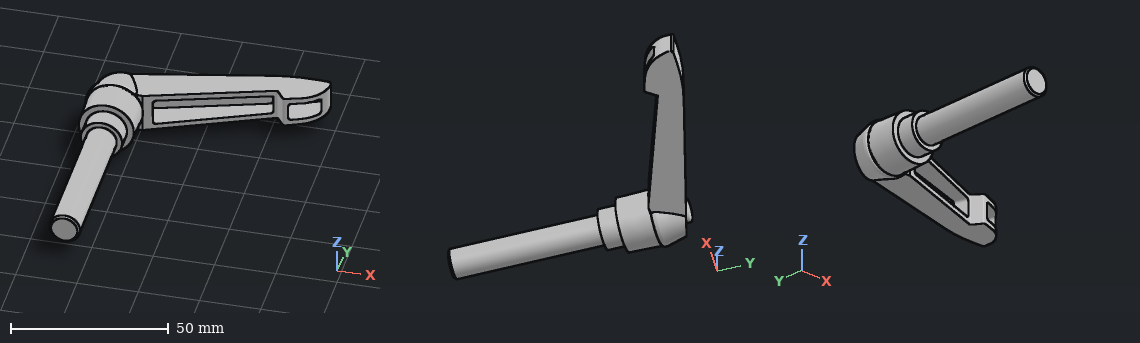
import cadquery as cq
import math


stud_diameter = 10.0
stud_length = 50.0
stud_chamfer = 0.7
bush_diameter = 13.5
bush_length = 6.5

skirt_bottom_radius = 9.0
skirt_top_radius = 9.3
skirt_height = 11.0
rim_radius = 9.745
rim_fillet = 0.85
rim_band = 0.85
cone_angle = 15.0

screw_radius = 4.0
screw_top_y = 28.55
screw_fillet = 0.85

top_slope = 15.0
slope_start_y = 27.35
arm_top_y = 41.55
arm_end_x = 65.0
crown_radius = 55.0
tip_top_chamfer = 0.65
belly_slope = 20.0
belly_start_x = 9.2
notch_x = 49.6
nose_x = 52.4
nose_y = 28.4
nose_fillet = 0.9
notch_fillet = 0.5
tip_arc_radius = 11.0

half_width_at_axis = 7.0
half_width_at_end = 4.8
end_corner_fillet = 0.6

pocket_wall = 2.05
pocket_corner_radius = 1.0
roof_thickness = 3.0
pocket_cut_height = 15.0
long_pocket_start_x = 12.3
long_pocket_end_x = 48.4
tip_pocket_start_x = 53.9
tip_pocket_end_x = 63.3

skirt_bottom_y = bush_length
skirt_top_y = skirt_bottom_y + skirt_height
top_tan = math.tan(math.radians(top_slope))
top_sin = math.sin(math.radians(top_slope))
top_cos = math.cos(math.radians(top_slope))
belly_tan = math.tan(math.radians(belly_slope))
belly_sin = math.sin(math.radians(belly_slope))
belly_cos = math.cos(math.radians(belly_slope))
notch_y = skirt_top_y + (notch_x - belly_start_x) * belly_tan
tip_arc_center_x = arm_end_x - tip_arc_radius
tip_arc_start_x = tip_arc_center_x + tip_arc_radius * belly_sin
tip_arc_start_y = nose_y + (tip_arc_start_x - nose_x) * belly_tan
tip_arc_end_y = tip_arc_start_y + tip_arc_radius * belly_cos
width_slope = (half_width_at_axis - half_width_at_end) / arm_end_x


def half_width(x):
    """Half of the arm width, which tapers evenly towards the tip."""
    return half_width_at_axis - width_slope * x


def cylinder_on_axis(radius, start_y, end_y):
    """Cylinder around the stud axis between two heights."""
    base = cq.Workplane("XZ", origin=(0, start_y, 0))
    return base.circle(radius).extrude(start_y - end_y)


def make_stud():
    stud = cylinder_on_axis(stud_diameter / 2, -stud_length, skirt_bottom_y)
    stud = stud.faces("<Y").chamfer(stud_chamfer)
    bush = cylinder_on_axis(bush_diameter / 2, 0, skirt_top_y)
    return stud.union(bush)


def make_hub():
    """Tapered skirt, rounded rim and cone, with the cone cut off by the sloped top."""
    cone_start_y = skirt_top_y + rim_fillet + rim_band
    cone_top_radius = rim_radius - (arm_top_y - cone_start_y) * math.tan(math.radians(cone_angle))
    fillet_mid = rim_fillet * (1 - math.sqrt(0.5))
    hub = (
        cq.Workplane("XY")
        .moveTo(0, skirt_bottom_y)
        .lineTo(skirt_bottom_radius, skirt_bottom_y)
        .lineTo(skirt_top_radius, skirt_top_y)
        .lineTo(rim_radius - rim_fillet, skirt_top_y)
        .threePointArc(
            (rim_radius - fillet_mid, skirt_top_y + fillet_mid),
            (rim_radius, skirt_top_y + rim_fillet),
        )
        .lineTo(rim_radius, cone_start_y)
        .lineTo(cone_top_radius, arm_top_y)
        .lineTo(0, arm_top_y)
        .close()
        .revolve(360, (0, 0, 0), (0, 1, 0))
    )
    reach = 2 * rim_radius
    above_slope = (
        cq.Workplane("XY")
        .moveTo(-reach, slope_start_y - reach * top_tan)
        .lineTo(reach, slope_start_y + reach * top_tan)
        .lineTo(reach, 2 * arm_top_y)
        .lineTo(-reach, 2 * arm_top_y)
        .close()
        .extrude(reach, both=True)
    )
    return hub.cut(above_slope)


def make_screw():
    screw = cylinder_on_axis(screw_radius, skirt_top_y, screw_top_y)
    return screw.faces(">Y").fillet(screw_fillet)


def edge_at(x, y):
    """Selector for the edge across the arm at a corner of its side outline."""
    return cq.selectors.NearestToPointSelector((x, y, 0))


def make_arm():
    """Side outline of the arm, trimmed to its tapered width."""
    crown_x = (arm_top_y - slope_start_y) / top_tan
    profile = (
        cq.Workplane("XY")
        .moveTo(0, skirt_top_y)
        .lineTo(belly_start_x, skirt_top_y)
        .lineTo(notch_x, notch_y)
        .lineTo(nose_x, nose_y)
        .lineTo(tip_arc_start_x, tip_arc_start_y)
        .tangentArcPoint((arm_end_x, tip_arc_end_y), relative=False)
        .lineTo(arm_end_x, arm_top_y)
        .lineTo(crown_x, arm_top_y)
        .lineTo(0, slope_start_y)
        .close()
        .extrude(half_width_at_axis, both=True)
    )

    profile = profile.edges(edge_at(notch_x, notch_y)).fillet(notch_fillet)
    profile = profile.edges(edge_at(nose_x, nose_y)).fillet(nose_fillet)
    profile = profile.edges(edge_at(crown_x, arm_top_y)).fillet(crown_radius)
    profile = profile.edges(edge_at(arm_end_x, arm_top_y)).chamfer(tip_top_chamfer)

    plan = (
        cq.Workplane("XZ")
        .moveTo(0, -half_width(0))
        .lineTo(arm_end_x, -half_width_at_end)
        .lineTo(arm_end_x, half_width_at_end)
        .lineTo(0, half_width(0))
        .close()
        .extrude(-arm_top_y)
        .edges("|Y and >X")
        .fillet(end_corner_fillet)
    )
    return profile.intersect(plan)


def make_pocket(start_x, start_y, end_x, end_y):
    """Pocket cutter square to the sloped top, with its floor one roof thickness below it.

    The near and far walls pass through the given points of the arm's underside.
    """
    start_half = half_width(start_x) - pocket_wall
    end_half = half_width(end_x) - pocket_wall
    floor = cq.Plane(
        origin=(0, slope_start_y - roof_thickness / top_cos, 0),
        xDir=(top_cos, top_sin, 0),
        normal=(top_sin, -top_cos, 0),
    )
    near_wall = floor.toLocalCoords(cq.Vector(start_x, start_y, 0)).x
    far_wall = floor.toLocalCoords(cq.Vector(end_x, end_y, 0)).x
    return (
        cq.Workplane(floor)
        .moveTo(near_wall, -start_half)
        .lineTo(far_wall, -end_half)
        .lineTo(far_wall, end_half)
        .lineTo(near_wall, start_half)
        .close()
        .extrude(pocket_cut_height)
        .edges(cq.selectors.ParallelDirSelector(floor.zDir))
        .fillet(pocket_corner_radius)
    )


def make_long_pocket():
    start_y = skirt_top_y + (long_pocket_start_x - belly_start_x) * belly_tan
    end_y = skirt_top_y + (long_pocket_end_x - belly_start_x) * belly_tan
    return make_pocket(long_pocket_start_x, start_y, long_pocket_end_x, end_y)


def make_tip_pocket():
    start_y = nose_y + (tip_pocket_start_x - nose_x) * belly_tan
    across = tip_pocket_end_x - tip_arc_center_x
    end_y = tip_arc_end_y - math.sqrt(tip_arc_radius**2 - across**2)
    return make_pocket(tip_pocket_start_x, start_y, tip_pocket_end_x, end_y)


arm = make_arm().cut(make_long_pocket()).cut(make_tip_pocket())
result = make_stud().union(make_hub()).union(arm).union(make_screw())